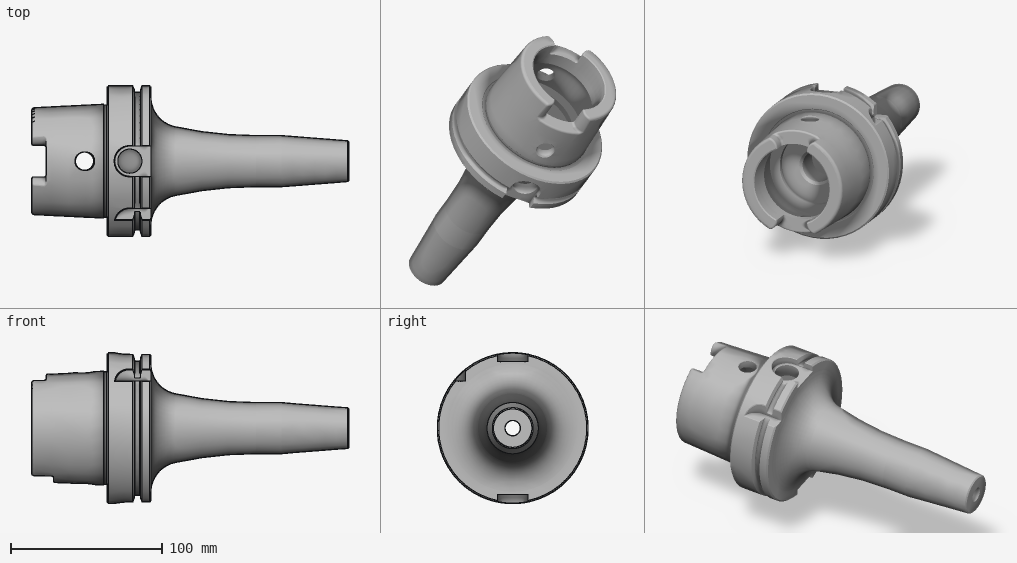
import cadquery as cq
import math


shank_length = 50.0
taper_end_dia = 75.52
taper_rate = 0.1
shank_end_round = 2.0
relief_dia = 74.7
relief_length = 2.5
relief_entry = 0.4
relief_dip_x = -0.6
relief_dip = 0.4
face_relief_dia = 79.2
face_relief_depth = 0.4

mouth_dia = 53.0
mouth_chamfer = 0.8
mouth_chamfer_length = 0.5
mouth_length = 19.3
undercut_dia = 63.0
undercut_slope = 60.0
cavity_floor_x = -6.0
floor_step_dia = 49.0
floor_step_depth = 4.0
socket_dia = 21.0
socket_mouth_dia = 24.5
socket_depth = 20.0
through_dia = 10.0

flange_dia = 100.0
flange_width = 29.0
flange_chamfer = 1.0
groove_floor_dia = 91.4
groove_center_x = 20.0
groove_floor_width = 4.1
groove_mouth_width = 6.2
groove_floor_round = 0.6
groove_straight_depth = 1.6

total_length = 210.0
neck_dia = 34.0
neck_start_x = 98.6
neck_sweep_radius = 250.0
neck_fillet_radius = 20.0
nose_dia = 27.0
nose_half_angle = 4.5
nose_chamfer = 0.8

drive_half_width = 10.4
drive_flare_radius = 7.0
drive_flare_height = 31.8
drive_depth_top = 9.6
drive_depth_bottom = 14.4
drive_floor_round = 1.5
drive_edge_round = 1.3

cross_hole_dia = 12.0
cross_hole_chamfer = 0.7
cross_hole_x = -15.0
slot_width = 20.0
slot_center_x = 15.0
slot_floor_height = 44.0
slot_hole_dia = 16.0
slot_hole_depth = 9.0
slot_edge_chamfer = 0.4
notch_wall_y = -31.3
notch_floor_z = 31.2

tolerance = 0.01
shank_end_x = -shank_length
nose_end_x = total_length - shank_length
flange_r = flange_dia / 2


def taper_radius(x):
    """Radius of the outer taper at position x."""
    return (taper_end_dia + taper_rate * (x + relief_length)) / 2


def radius_about_x(point):
    return math.hypot(point.y, point.z)


def arc_middle(center, start, end):
    """Point of the shorter arc from start to end halfway along it."""
    radius = math.dist(center, start)
    dx = start[0] + end[0] - 2 * center[0]
    dy = start[1] + end[1] - 2 * center[1]
    length = math.hypot(dx, dy)
    return (center[0] + radius * dx / length, center[1] + radius * dy / length)


def revolve_about_x(profile):
    return profile.close().revolve(360, (0, 0, 0), (1, 0, 0))


def turned_body():
    neck_r = neck_dia / 2
    sweep_center = (neck_start_x, neck_r + neck_sweep_radius)
    center_gap = neck_sweep_radius - neck_fillet_radius
    fillet_x = flange_width + neck_fillet_radius
    center_drop = math.sqrt(center_gap ** 2 - (neck_start_x - fillet_x) ** 2)
    fillet_center = (fillet_x, sweep_center[1] - center_drop)
    reach = neck_sweep_radius / center_gap
    join = (
        sweep_center[0] + reach * (fillet_center[0] - sweep_center[0]),
        sweep_center[1] + reach * (fillet_center[1] - sweep_center[1]),
    )
    fillet_start = (flange_width, fillet_center[1])
    neck_start = (neck_start_x, neck_r)

    nose_r = nose_dia / 2
    cone_length = (neck_r - nose_r) / math.tan(math.radians(nose_half_angle))
    chamfer_r = nose_r + nose_chamfer * math.tan(math.radians(nose_half_angle))

    relief_r = relief_dia / 2
    face_relief_r = face_relief_dia / 2
    end_r = taper_radius(shank_end_x)
    profile = (
        cq.Workplane("XY")
        .moveTo(shank_end_x, 0)
        .lineTo(shank_end_x, end_r)
        .lineTo(-relief_length, taper_radius(-relief_length))
        .lineTo(relief_entry - relief_length, relief_r)
        .lineTo(relief_dip_x, relief_r)
        .lineTo(face_relief_depth, relief_r - relief_dip)
        .lineTo(face_relief_depth, face_relief_r - face_relief_depth)
        .lineTo(0, face_relief_r)
        .lineTo(0, flange_r - flange_chamfer)
        .lineTo(flange_chamfer, flange_r)
        .lineTo(flange_width - flange_chamfer, flange_r)
        .lineTo(flange_width, flange_r - flange_chamfer)
        .lineTo(*fillet_start)
        .threePointArc(arc_middle(fillet_center, fillet_start, join), join)
        .threePointArc(arc_middle(sweep_center, join, neck_start), neck_start)
        .lineTo(nose_end_x - cone_length, neck_r)
        .lineTo(nose_end_x - nose_chamfer, chamfer_r)
        .lineTo(nose_end_x, nose_r - nose_chamfer)
        .lineTo(nose_end_x, 0)
    )
    return revolve_about_x(profile)


def gripper_groove():
    floor_r = groove_floor_dia / 2
    straight_r = floor_r + groove_straight_depth
    half_floor = groove_floor_width / 2
    half_mouth = groove_mouth_width / 2
    groove = (
        cq.Workplane("XY")
        .moveTo(groove_center_x - half_floor, floor_r)
        .lineTo(groove_center_x - half_floor, straight_r)
        .lineTo(groove_center_x - half_mouth, flange_r)
        .lineTo(groove_center_x + half_mouth, flange_r)
        .lineTo(groove_center_x + half_floor, straight_r)
        .lineTo(groove_center_x + half_floor, floor_r)
        .close()
        .revolve(360, (0, 0, 0), (1, 0, 0))
    )
    floor_edge = cq.selectors.RadiusNthSelector(0)
    return groove.edges(floor_edge).fillet(groove_floor_round)


def shank_cavity():
    mouth_r = mouth_dia / 2
    undercut_r = undercut_dia / 2
    step_r = floor_step_dia / 2
    socket_r = socket_dia / 2
    socket_mouth_r = socket_mouth_dia / 2
    mouth_end_x = shank_end_x + mouth_length
    undercut_x = mouth_end_x + (undercut_r - mouth_r) / math.tan(math.radians(undercut_slope))
    step_x = cavity_floor_x + floor_step_depth
    profile = (
        cq.Workplane("XY")
        .moveTo(shank_end_x, 0)
        .lineTo(shank_end_x, mouth_r + mouth_chamfer)
        .lineTo(shank_end_x + mouth_chamfer_length, mouth_r)
        .lineTo(mouth_end_x, mouth_r)
        .lineTo(undercut_x, undercut_r)
        .lineTo(cavity_floor_x, undercut_r)
        .lineTo(cavity_floor_x, step_r)
        .lineTo(step_x, step_r)
        .lineTo(step_x, socket_mouth_r)
        .lineTo(step_x + socket_mouth_r - socket_r, socket_r)
        .lineTo(step_x + socket_depth, socket_r)
        .lineTo(step_x + socket_depth, 0)
    )
    return revolve_about_x(profile)


def through_bore():
    return cq.Workplane("YZ", origin=(shank_end_x, 0, 0)).circle(through_dia / 2).extrude(total_length)


def drive_slot(side, depth):
    """Slot in the shank end on the +Z (side = 1) or -Z (side = -1) side."""
    flare_y = drive_half_width + drive_flare_radius
    flare_z = drive_flare_height - drive_flare_radius
    wall_start = (drive_half_width, flare_z)
    flare_end = (flare_y, drive_flare_height)
    flare_middle = (
        flare_y - drive_flare_radius * math.cos(math.pi / 4),
        flare_z + drive_flare_radius * math.sin(math.pi / 4),
    )

    def on_side(point, mirror=1):
        return (mirror * point[0], side * point[1])

    outer = (flange_r, drive_flare_height)
    slot = (
        cq.Workplane("YZ", origin=(shank_end_x, 0, 0))
        .moveTo(drive_half_width, 0)
        .lineTo(*on_side(wall_start))
        .threePointArc(on_side(flare_middle), on_side(flare_end))
        .lineTo(*on_side(outer))
        .lineTo(flange_r, side * flange_r)
        .lineTo(-flange_r, side * flange_r)
        .lineTo(*on_side(outer, -1))
        .lineTo(*on_side(flare_end, -1))
        .threePointArc(on_side(flare_middle, -1), on_side(wall_start, -1))
        .lineTo(-drive_half_width, 0)
        .close()
        .extrude(depth)
    )
    return slot.faces(">X").edges().fillet(drive_floor_round)


def cross_hole():
    """Hole through both walls of the shank, countersunk at the taper."""
    hole_r = cross_hole_dia / 2
    sink_r = hole_r + cross_hole_chamfer
    surface_r = taper_radius(cross_hole_x)
    neck_z = surface_r - cross_hole_chamfer
    return (
        cq.Workplane("XZ", origin=(cross_hole_x, 0, 0))
        .moveTo(0, -flange_r)
        .lineTo(sink_r, -flange_r)
        .lineTo(sink_r, -surface_r)
        .lineTo(hole_r, -neck_z)
        .lineTo(hole_r, neck_z)
        .lineTo(sink_r, surface_r)
        .lineTo(sink_r, flange_r)
        .lineTo(0, flange_r)
        .close()
        .revolve(360, (0, 0, 0), (0, 1, 0))
    )


def round_ended_pocket(y, floor_z):
    """Cutter path open towards +X and +Z with a flat floor at floor_z."""
    run = flange_width - slot_center_x
    floor = cq.Workplane("XY", origin=(slot_center_x, y, floor_z))
    end = floor.circle(slot_width / 2).extrude(flange_r)
    channel = floor.center(run / 2, 0).rect(run, slot_width).extrude(flange_r)
    return end.union(channel)


def flange_slot():
    """Slot on the +Z side of the flange with a blind hole in its floor."""
    hole = cq.Workplane("XY", origin=(slot_center_x, 0, slot_floor_height - slot_hole_depth))
    return round_ended_pocket(0, slot_floor_height).union(
        hole.circle(slot_hole_dia / 2).extrude(slot_hole_depth)
    )


def corner_notch():
    return round_ended_pocket(notch_wall_y - slot_width / 2, notch_floor_z)


def is_slot_rim(edge):
    """True for an edge where a flange slot or the notch meets the rim."""
    box = edge.BoundingBox()
    on_rim = abs(radius_about_x(edge.positionAt(0.5)) - flange_r) < tolerance
    return on_rim and box.xlen > tolerance


def chamfer_slot_rims(body):
    rims = [edge for edge in body.edges().vals() if is_slot_rim(edge)]
    return body.newObject(rims).chamfer(slot_edge_chamfer)


def is_slot_wall_edge(edge):
    """True for an edge whose two ends differ in distance from the X axis."""
    return abs(radius_about_x(edge.startPoint()) - radius_about_x(edge.endPoint())) > tolerance


def is_taper_edge(edge):
    """True for an edge on the outer circle of the shank end."""
    return abs(radius_about_x(edge.positionAt(0.5)) - taper_radius(shank_end_x)) < tolerance


def round_shank_end(body):
    """Round the taper edge of the shank end, then the drive slot edges."""
    for selects, radius in ((is_taper_edge, shank_end_round), (is_slot_wall_edge, drive_edge_round)):
        edges = [edge for edge in body.faces("<X").edges().vals() if selects(edge)]
        body = body.newObject(edges).fillet(radius)
    return body


body = turned_body()
for angle in (0, 180):
    body = body.cut(flange_slot().rotate((0, 0, 0), (1, 0, 0), angle))
body = chamfer_slot_rims(body.cut(corner_notch()))
body = body.cut(gripper_groove())
for side, depth in ((1, drive_depth_top), (-1, drive_depth_bottom)):
    body = body.cut(drive_slot(side, depth))
body = round_shank_end(body)
result = body.cut(shank_cavity()).cut(through_bore()).cut(cross_hole())